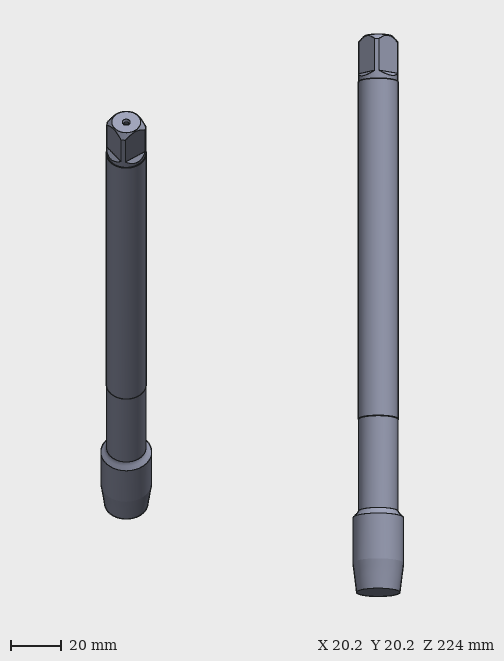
import cadquery as cq
import math

total_length = 224.0
lead_length = 11.6
thread_length = 30.0
shoulder_cone_height = 1.3
shoulder_fillet_height = 1.3
neck_top = 70.0
shank_top = 205.9

tip_diameter = 17.2
thread_diameter = 20.2
shoulder_diameter = 17.5
neck_diameter = 15.7
shank_diameter = 16.0
drive_diameter = 15.5
end_face_diameter = 11.5

step_height = 0.2
end_chamfer_height = 2.2
square_width = 12.0
square_length = 15.0
center_hole_diameter = 2.0
center_hole_depth = 2.2
countersink_diameter = 3.1
countersink_angle = 60.0


def make_cutting_head():
    """Threaded section, simplified to a cylinder with a tapered lead."""
    return (
        cq.Workplane("XZ")
        .lineTo(tip_diameter / 2, 0)
        .lineTo(thread_diameter / 2, lead_length)
        .lineTo(thread_diameter / 2, thread_length)
        .lineTo(0, thread_length)
        .close()
        .revolve()
    )


def make_round_shank():
    """Shoulder, neck, shank and drive end before the square is cut."""
    shoulder_top = thread_length + shoulder_cone_height
    neck_bottom = shoulder_top + shoulder_fillet_height
    return (
        cq.Workplane("XZ")
        .moveTo(0, thread_length)
        .lineTo(thread_diameter / 2, thread_length)
        .lineTo(shoulder_diameter / 2, shoulder_top)
        .tangentArcPoint((neck_diameter / 2, neck_bottom), relative=False)
        .lineTo(neck_diameter / 2, neck_top - step_height)
        .lineTo(shank_diameter / 2, neck_top)
        .lineTo(shank_diameter / 2, shank_top - step_height)
        .lineTo(drive_diameter / 2, shank_top)
        .lineTo(drive_diameter / 2, total_length - end_chamfer_height)
        .lineTo(end_face_diameter / 2, total_length)
        .lineTo(0, total_length)
        .close()
        .revolve()
    )


def make_flat_cutter():
    """Material removed beside one flat, with a 45 degree run-out at its foot."""
    flat = square_width / 2
    outside = thread_diameter / 2
    flat_bottom = total_length - square_length
    return (
        cq.Workplane("XZ")
        .moveTo(flat, total_length)
        .lineTo(flat, flat_bottom)
        .lineTo(outside, flat_bottom - (outside - flat))
        .lineTo(outside, total_length)
        .close()
        .extrude(thread_diameter / 2, both=True)
    )


def make_center_hole():
    """Blind hole in the drive end with a conical countersink."""
    hole_radius = center_hole_diameter / 2
    sink_radius = countersink_diameter / 2
    sink_depth = (sink_radius - hole_radius) / math.tan(math.radians(countersink_angle / 2))
    hole_bottom = total_length - center_hole_depth
    return (
        cq.Workplane("XZ")
        .moveTo(0, hole_bottom)
        .lineTo(hole_radius, hole_bottom)
        .lineTo(hole_radius, total_length - sink_depth)
        .lineTo(sink_radius, total_length)
        .lineTo(0, total_length)
        .close()
        .revolve()
    )


def make_shank():
    """Shank with its square drive and centre hole."""
    shank = make_round_shank()
    cutter = make_flat_cutter()
    for side in range(4):
        shank = shank.cut(cutter.rotate((0, 0, 0), (0, 0, 1), 90 * side))
    return shank.cut(make_center_hole())


cutting_head = make_cutting_head()
shank = make_shank()

result = cq.Compound.makeCompound([cutting_head.val(), shank.val()])